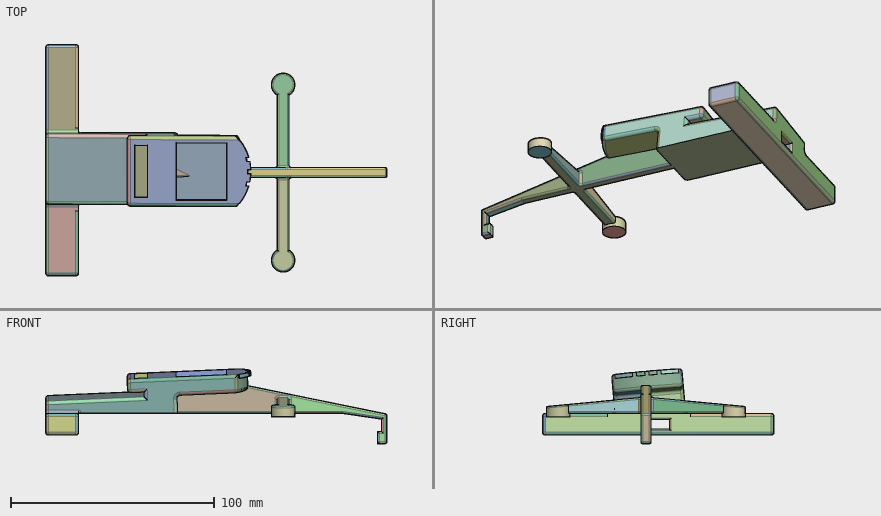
import cadquery as cq
LENGTH = 167.8
ROUND = 1.5
BODY_ROUND = 1.7
FINE_ROUND = 0.8
TOUCH = 0.2

FOOT_DEPTH = 16.3
FOOT_LENGTH = 113.7
FOOT_HEIGHT = 10.7
WINDOW_WIDTH = 10.9
WINDOW_HEIGHT = 4.5

PITCH = 2.5
ROLL = 5.0
BODY_Y = -4.5
BODY_Z = 18.1
BODY_WIDTH = 34.7
BODY_END = 64.5
FRONT_STOCK = 5.0
PLATE_START = 40.5
PLATE_SHOULDER = 94.3
PLATE_TIP = 99.6
PLATE_TOP = 9.0
GAP_HEIGHT = 2.3
GAP_END = 48.5

LIP_TIP = 101.3
LIP_THICKNESS = 2.0
NOTCH_WIDTH = 2.0
NOTCH_PITCH = 6.0

POCKET_DEPTH = 4.9
SMALL_POCKET_START = 44.1
SMALL_POCKET_SIZE = (6.4, 25.8)
LARGE_POCKET_START = 64.5
LARGE_POCKET_SIZE = (24.8, 28.3)

SPINE_Y = -6.0
SPINE_WIDTH = 5.0
SPINE_ROUND = 1.0
SPINE_START = 60.4
SPINE_TOP = 25.2
SPINE_SLOPE_START = 95.6
TIP_TOP = 10.4
TIP_UNDERSIDE = 7.9
UNDERSIDE_BEND = 145.8
HOOK_THICKNESS = 2.7
HOOK_TOE = 4.7
HOOK_TOE_TOP = 1.8
HOOK_BOTTOM = -4.2

ARM_X = 116.8
ARM_WIDTH = 5.9
ARM_TOP = 18.8
ARM_SLOPE = 0.095
ARM_BLEND = 1.2
PAD_OFFSET = 43.1
PAD_DIAMETER = 11.5
PAD_BOTTOM = 9.0


def block(x0, x1, y0, y1, z0, z1):
    """Box between two opposite corners."""
    return cq.Workplane("XY").box(x1 - x0, y1 - y0, z1 - z0, centered=False).translate((x0, y0, z0))


def tilt(shape):
    """Move a shape from the body's own frame to its pitched and rolled place."""
    pitched = shape.rotate((0, 0, 0), (0, 1, 0), -PITCH)
    return pitched.rotate((0, 0, 0), (1, 0, 0), ROLL).translate((0, BODY_Y, BODY_Z))


def nose_plate(tip, z0, z1):
    """Plate outline with straight sides and an arc nose reaching to tip."""
    half = BODY_WIDTH / 2
    outline = (
        cq.Workplane("XY", origin=(0, 0, z0))
        .moveTo(PLATE_START, -half)
        .lineTo(PLATE_SHOULDER, -half)
        .threePointArc((tip, 0), (PLATE_SHOULDER, half))
        .lineTo(PLATE_START, half)
        .close()
    )
    return outline.extrude(z1 - z0)


def make_body():
    """Lower block and plate with rounded edges, in the body's own frame."""
    half = BODY_WIDTH / 2
    lower = block(-FRONT_STOCK, BODY_END, -half, half, -BODY_Z, 0)
    gap = block(PLATE_START, GAP_END, -half, half, 0, GAP_HEIGHT)
    body = lower.union(nose_plate(PLATE_TIP, 0, PLATE_TOP)).cut(gap)

    def stays_sharp(edge):
        point = edge.Center()
        on_nose_top = point.x > PLATE_SHOULDER and point.z > PLATE_TOP - TOUCH
        in_gap = abs(point.x - GAP_END) < TOUCH and abs(point.y) < TOUCH
        on_stock = point.x < -FRONT_STOCK + TOUCH or point.z < -BODY_Z + TOUCH
        return on_nose_top or in_gap or on_stock

    return body.edges().filter(lambda edge: not stays_sharp(edge)).fillet(BODY_ROUND)


def make_lip():
    """Notched lip standing out from the top of the nose."""
    half = BODY_WIDTH / 2
    lip = nose_plate(LIP_TIP, PLATE_TOP - LIP_THICKNESS, PLATE_TOP)
    lip = lip.cut(block(0, PLATE_SHOULDER, -half, half, 0, PLATE_TOP))
    lip = lip.cut(block(0, LIP_TIP, half - BODY_ROUND, half, 0, PLATE_TOP))
    lip = lip.cut(block(0, LIP_TIP, -half, BODY_ROUND - half, 0, PLATE_TOP))
    for step in (-1, 0, 1):
        near = step * NOTCH_PITCH - NOTCH_WIDTH / 2
        notch = block(PLATE_SHOULDER, LIP_TIP, near, near + NOTCH_WIDTH, 0, PLATE_TOP)
        lip = lip.cut(notch.cut(nose_plate(PLATE_TIP, 0, PLATE_TOP)))
    return lip


def make_pocket(start, size):
    """Rectangular pocket sunk from the top of the plate."""
    length, width = size
    return block(start, start + length, -width / 2, width / 2, PLATE_TOP - POCKET_DEPTH, PLATE_TOP)


def make_tilted_body():
    """Body with lip and pockets, tilted and trimmed to its front and bottom planes."""
    body = make_body().union(make_lip())
    body = body.cut(make_pocket(SMALL_POCKET_START, SMALL_POCKET_SIZE))
    body = body.cut(make_pocket(LARGE_POCKET_START, LARGE_POCKET_SIZE))
    kept = block(0, LENGTH, -FOOT_LENGTH / 2, FOOT_LENGTH / 2, FOOT_HEIGHT, LENGTH)
    return tilt(body).intersect(kept)


def round_upper_rear(base):
    """Round the foot bar's upper rear edge outside the body and its blends."""
    end = FOOT_LENGTH / 2
    half = BODY_WIDTH / 2 + 2 * ROUND
    rear = FOOT_DEPTH - ROUND
    under = FOOT_HEIGHT - ROUND
    corner = block(rear, FOOT_DEPTH, -end, end, under, FOOT_HEIGHT)
    round_bar = cq.Workplane("XZ", origin=(rear, 0, under)).circle(ROUND).extrude(end, both=True)
    beside_body = block(0, FOOT_DEPTH, BODY_Y - half, BODY_Y + half, 0, FOOT_HEIGHT)
    return base.cut(corner.cut(round_bar).cut(beside_body))


def cut_window(base):
    """Rectangular window through the foot bar with rounded rims."""
    half = WINDOW_WIDTH / 2
    bottom = (FOOT_HEIGHT - WINDOW_HEIGHT) / 2
    base = base.cut(block(0, FOOT_DEPTH, -half, half, bottom, bottom + WINDOW_HEIGHT))

    def on_rim(edge):
        box = edge.BoundingBox()
        on_front = box.xmax < TOUCH
        on_rear = box.xmin > FOOT_DEPTH - TOUCH and box.xmax < FOOT_DEPTH + TOUCH
        in_window = max(abs(box.ymin), abs(box.ymax)) < half + TOUCH
        return (on_front or on_rear) and in_window and box.zmax < FOOT_HEIGHT - ROUND

    return base.edges().filter(on_rim).fillet(FINE_ROUND)


def make_base():
    """Tilted body on the foot bar, blended together, with the bar's window."""
    end = FOOT_LENGTH / 2
    base = block(0, FOOT_DEPTH, -end, end, 0, FOOT_HEIGHT).union(make_tilted_body())

    def on_joint(edge):
        box = edge.BoundingBox()
        level = box.zmin > FOOT_HEIGHT - TOUCH and box.zmax < FOOT_HEIGHT + TOUCH
        along_foot = box.xmin < TOUCH < box.xmax < FOOT_DEPTH + TOUCH
        return level and along_foot and abs(edge.Center().y) < BODY_WIDTH

    base = round_upper_rear(base.edges().filter(on_joint).fillet(ROUND))

    def on_outline(edge):
        box = edge.BoundingBox()
        on_end = box.ymin > end - TOUCH or box.ymax < TOUCH - end
        on_bottom_rear = box.xmin > FOOT_DEPTH - TOUCH and box.zmax < TOUCH
        return box.xmax < TOUCH or on_end or on_bottom_rear

    return cut_window(base.edges().filter(on_outline).fillet(ROUND))


def make_spine():
    """Level and then sloping rib ending in a downward hook."""
    neck = LENGTH - HOOK_THICKNESS
    toe = LENGTH - HOOK_TOE
    profile = [
        (SPINE_START, FOOT_HEIGHT),
        (SPINE_START, SPINE_TOP),
        (SPINE_SLOPE_START, SPINE_TOP),
        (LENGTH, TIP_TOP),
        (LENGTH, HOOK_BOTTOM),
        (toe, HOOK_BOTTOM),
        (toe, HOOK_TOE_TOP),
        (neck, HOOK_TOE_TOP),
        (neck, TIP_UNDERSIDE),
        (UNDERSIDE_BEND, FOOT_HEIGHT),
    ]
    return cq.Workplane("XZ").polyline(profile).close().extrude(SPINE_WIDTH / 2, both=True)


def make_arm():
    """Cross arm with round end pads under a top that falls away from the spine."""
    reach = PAD_OFFSET + PAD_DIAMETER / 2
    half = ARM_WIDTH / 2
    bar = block(ARM_X - half, ARM_X + half, -PAD_OFFSET, PAD_OFFSET, FOOT_HEIGHT, ARM_TOP)
    pads = (
        cq.Workplane("XY", origin=(ARM_X, 0, PAD_BOTTOM))
        .pushPoints([(0, -PAD_OFFSET), (0, PAD_OFFSET)])
        .circle(PAD_DIAMETER / 2)
        .extrude(ARM_TOP - PAD_BOTTOM)
    )
    end_top = ARM_TOP - ARM_SLOPE * reach
    roof = (
        cq.Workplane("YZ", origin=(ARM_X, 0, 0))
        .polyline([(-reach, 0), (-reach, end_top), (0, ARM_TOP), (reach, end_top), (reach, 0)])
        .close()
        .extrude(PAD_DIAMETER / 2, both=True)
    )
    arm = bar.union(pads).intersect(roof)

    def on_top_rim(edge):
        box = edge.BoundingBox()
        upright = box.xmax - box.xmin < TOUCH and box.ymax - box.ymin < TOUCH
        along_ridge = abs(edge.Center().y) < TOUCH
        return box.zmin > FOOT_HEIGHT + TOUCH and not upright and not along_ridge

    return arm.edges().filter(on_top_rim).fillet(FINE_ROUND)


def on_spine_side(edge):
    """True for edges lying in either side face of the spine."""
    return abs(abs(edge.Center().y) - SPINE_WIDTH / 2) < TOUCH


def make_cross():
    """Spine and cross arm joined, with their corners blended and edges rounded."""
    cross = make_spine().union(make_arm())

    def in_arm_corner(edge):
        box = edge.BoundingBox()
        upright = box.xmax - box.xmin < TOUCH < box.zmax - box.zmin
        return upright and on_spine_side(edge) and abs(edge.Center().x - ARM_X) < ARM_WIDTH

    cross = cross.edges().filter(in_arm_corner).fillet(ARM_BLEND)

    def on_spine_rim(edge):
        point = edge.Center()
        clear_of_arm = abs(point.x - ARM_X) > ARM_WIDTH
        along_rim = on_spine_side(edge) and point.x > SPINE_START + TOUCH and clear_of_arm
        across_tip = point.x > LENGTH - TOUCH and abs(point.y) < TOUCH
        return along_rim or across_tip

    cross = cross.edges().filter(on_spine_rim).fillet(SPINE_ROUND)
    return cross.translate((0, SPINE_Y, 0))


result = make_base().union(make_cross())